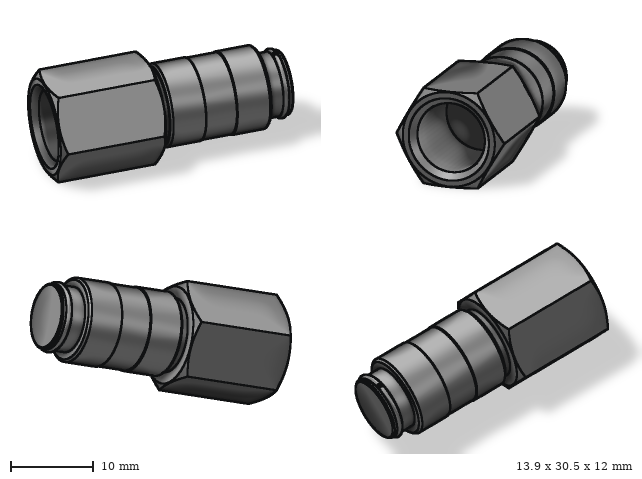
import cadquery as cq
import math

HEX_LENGTH = 13.48
SLEEVE_START = 14.4
WAIST_START = 18.85
WAIST_END = 22.9
SLEEVE_END = 27.35
TOTAL_LENGTH = 30.5

HEX_ACROSS_FLATS = 12.0
HEX_ACROSS_CORNERS = HEX_ACROSS_FLATS / math.cos(math.radians(30))
HEX_FACE_RADIUS = 5.92
CORNER_ANGLE = 30.0

NECK_RADIUS = 4.55
SLEEVE_RADIUS = 5.15
SLEEVE_CHAMFER = 0.3
WAIST_STEP = 0.1
SPIGOT_RADIUS = 4.0
SPIGOT_CHAMFER = 0.18

BORE_RADIUS = 4.33
BORE_MOUTH_RADIUS = 5.15
BORE_MOUTH_DEPTH = 0.82
BORE_DEPTH = 10.98

WIRE_RADIUS = 0.35
RING_OUTER_RADIUS = 4.3
RING_CENTER_RADIUS = RING_OUTER_RADIUS - WIRE_RADIUS
RING_Y = TOTAL_LENGTH - 0.95
RING_GAP = 0.45
GROOVE_WIDTH = 0.8
GROOVE_FLOOR_RADIUS = RING_CENTER_RADIUS - WIRE_RADIUS


def revolve_profile(points):
    """Revolve a closed (radius, y) outline about the Y axis."""
    return cq.Workplane("XY").polyline(points).close().revolve(360, (0, 0, 0), (0, 1, 0))


def make_hexagon():
    prism = (
        cq.Workplane("XZ")
        .polygon(6, HEX_ACROSS_CORNERS)
        .extrude(-HEX_LENGTH)
    )
    envelope_radius = HEX_ACROSS_CORNERS / 2 + 0.3
    corner_drop = (envelope_radius - HEX_FACE_RADIUS) * math.tan(math.radians(CORNER_ANGLE))
    envelope = revolve_profile([
        (0, 0),
        (HEX_FACE_RADIUS, 0),
        (envelope_radius, corner_drop),
        (envelope_radius, HEX_LENGTH - corner_drop),
        (HEX_FACE_RADIUS, HEX_LENGTH),
        (0, HEX_LENGTH),
    ])
    return prism.intersect(envelope)


def make_turned_body():
    waist_radius = SLEEVE_RADIUS - WAIST_STEP
    chamfer_radius = SLEEVE_RADIUS - SLEEVE_CHAMFER
    return revolve_profile([
        (0, HEX_LENGTH),
        (NECK_RADIUS, HEX_LENGTH),
        (NECK_RADIUS, SLEEVE_START),
        (chamfer_radius, SLEEVE_START),
        (SLEEVE_RADIUS, SLEEVE_START + SLEEVE_CHAMFER),
        (SLEEVE_RADIUS, WAIST_START),
        (waist_radius, WAIST_START + WAIST_STEP),
        (waist_radius, WAIST_END - WAIST_STEP),
        (SLEEVE_RADIUS, WAIST_END),
        (SLEEVE_RADIUS, SLEEVE_END - SLEEVE_CHAMFER),
        (chamfer_radius, SLEEVE_END),
        (SPIGOT_RADIUS, SLEEVE_END),
        (SPIGOT_RADIUS, RING_Y - GROOVE_WIDTH / 2),
        (GROOVE_FLOOR_RADIUS, RING_Y - GROOVE_WIDTH / 2),
        (GROOVE_FLOOR_RADIUS, RING_Y + GROOVE_WIDTH / 2),
        (SPIGOT_RADIUS, RING_Y + GROOVE_WIDTH / 2),
        (SPIGOT_RADIUS, TOTAL_LENGTH - SPIGOT_CHAMFER),
        (SPIGOT_RADIUS - SPIGOT_CHAMFER, TOTAL_LENGTH),
        (0, TOTAL_LENGTH),
    ])


def make_bore():
    return revolve_profile([
        (0, 0),
        (BORE_MOUTH_RADIUS, 0),
        (BORE_RADIUS, BORE_MOUTH_DEPTH),
        (BORE_RADIUS, BORE_DEPTH),
        (0, BORE_DEPTH),
    ])


def make_fitting():
    return make_hexagon().union(make_turned_body()).cut(make_bore())


def make_snap_ring():
    ring = (
        cq.Workplane("XY")
        .center(RING_CENTER_RADIUS, RING_Y)
        .circle(WIRE_RADIUS)
        .revolve(360, (-RING_CENTER_RADIUS, 0, 0), (-RING_CENTER_RADIUS, 1, 0))
    )
    gap = cq.Workplane("XY").box(
        RING_GAP, 4 * WIRE_RADIUS, 2 * RING_OUTER_RADIUS, centered=(True, True, False)
    ).translate((0, RING_Y, 0))
    return ring.cut(gap)


fitting = make_fitting()
snap_ring = make_snap_ring()

result = cq.Compound.makeCompound([fitting.val(), snap_ring.val()])